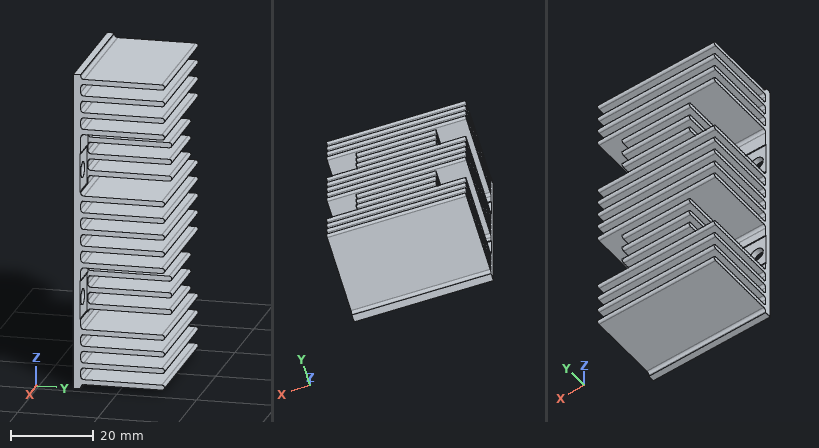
import cadquery as cq

width = 35.56
depth = 22.86
height = 80.07

base_thickness = 1.905

fin_count = 19
fin_pitch = 4.25
fin_thickness = 1.32
fin_root_radius = 0.8

hole_diameter = 3.9
hole_edge_distance = 2.9
hole_heights = (15.0, -17.4)
recess_height = 9.7
recess_depth = 0.2

shortened_fin_groups = ((4, 6), (12, 14))
fin_setback = 7.6


def fin_height(index):
    """Height of a fin's mid-plane above the middle of the part."""
    return ((fin_count - 1) / 2 - index) * fin_pitch


def box_between(low, high):
    """Box with two opposite corners at the given points, low being the smaller."""
    size = [end - start for start, end in zip(low, high)]
    return cq.Workplane("XY").box(*size, centered=False).translate(low)


def make_base():
    """Flat plate that carries the fins."""
    return box_between(
        (-width / 2, 0, -height / 2),
        (width / 2, base_thickness, height / 2),
    )


def make_fin(index):
    """Fin along X with a half-round tip and concave root fillets."""
    half = fin_thickness / 2
    foot = half + fin_root_radius
    root_end = base_thickness + fin_root_radius
    tip_start = depth - half
    return (
        cq.Workplane("YZ", origin=(-width / 2, 0, fin_height(index)))
        .moveTo(0, -foot)
        .lineTo(base_thickness, -foot)
        .radiusArc((root_end, -half), fin_root_radius)
        .lineTo(tip_start, -half)
        .threePointArc((depth, 0), (tip_start, half))
        .lineTo(root_end, half)
        .radiusArc((base_thickness, foot), fin_root_radius)
        .lineTo(0, foot)
        .close()
        .extrude(width)
    )


def end_block(side, y_range, z_range):
    """Block spanning the fin setback at one X end of the part."""
    outer = side * width / 2
    inner = side * (width / 2 - fin_setback)
    return box_between(
        (min(outer, inner), y_range[0], z_range[0]),
        (max(outer, inner), y_range[1], z_range[1]),
    )


def make_fin_clearance(first, last, side):
    """Block that removes the ends of a group of fins, roots included."""
    margin = fin_pitch / 2
    z_range = (fin_height(last) - margin, fin_height(first) + margin)
    return end_block(side, (base_thickness, depth), z_range)


def make_screw_recess(z, side):
    """Shallow seat in the base around a mounting hole, open at the side edge."""
    z_range = (z - recess_height / 2, z + recess_height / 2)
    return end_block(side, (base_thickness - recess_depth, base_thickness), z_range)


def make_screw_hole(x, z):
    """Cylinder along Y through the full depth of the part."""
    return cq.Workplane("XZ", origin=(x, 0, z)).circle(hole_diameter / 2).extrude(-depth)


result = make_base()
for fin in range(fin_count):
    result = result.union(make_fin(fin))

for side in (-1, 1):
    for first, last in shortened_fin_groups:
        result = result.cut(make_fin_clearance(first, last, side))

    hole_x = side * (width / 2 - hole_edge_distance)
    for hole_z in hole_heights:
        result = result.cut(make_screw_hole(hole_x, hole_z))
        result = result.cut(make_screw_recess(hole_z, side))